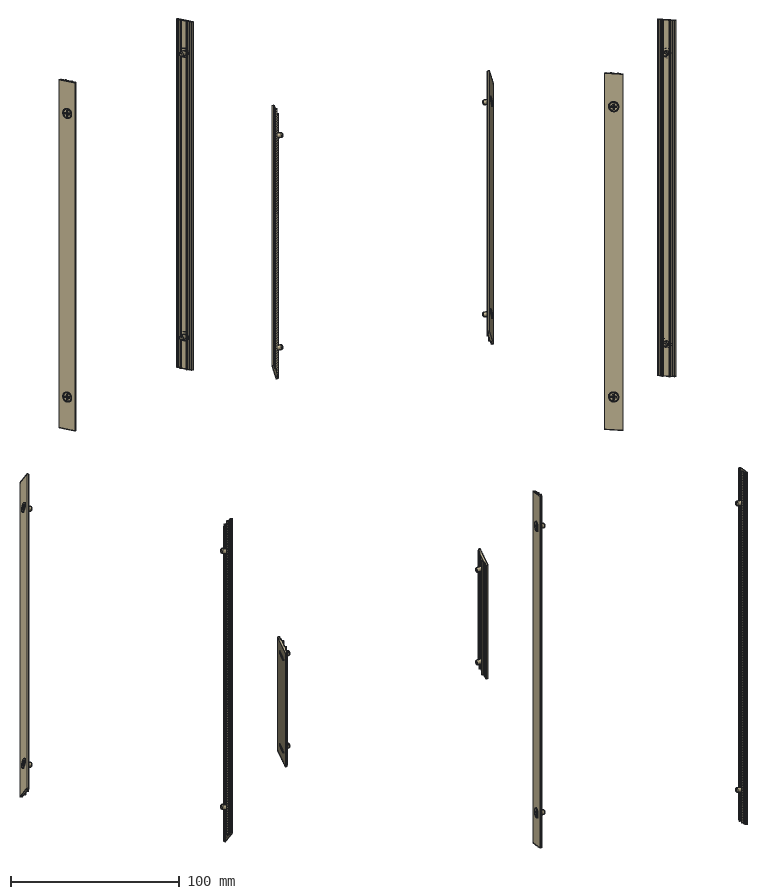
import cadquery as cq

strip_length = 218.1
strip_width = 11.3
overall_depth = 132.5

plate_thickness = 1.05
lip_width = 0.7
lip_height = 1.5
pad_width = 7.9
pad_base_width = 6.5
pad_height = lip_height
ridge_outer_width = 4.8
ridge_inner_width = 3.5
ridge_rise = 0.79
ridge_height = pad_height + ridge_rise

screw_spacing = 177.8
shank_diameter = 3.0
shank_reach = 5.2
tip_chamfer = 0.7
head_diameter = 5.5
head_projection = 0.1
counterbore_diameter = 6.0
counterbore_depth = 0.76

recess_length = 3.5
recess_arm_width = 0.9
recess_depth = 1.7
recess_taper = 10.0

outer_face = overall_depth / 2 - head_projection
screw_heights = [-screw_spacing / 2, screw_spacing / 2]


def make_profile():
    """Cross-section of the strip in XY, outer face on Y = 0, ribbed side toward +Y."""
    right_half = [
        (strip_width / 2, 0),
        (strip_width / 2, lip_height - lip_width),
        (strip_width / 2 - lip_width, lip_height),
        (strip_width / 2 - lip_width, plate_thickness),
        (pad_base_width / 2, plate_thickness),
        (pad_width / 2, pad_height),
        (ridge_outer_width / 2, pad_height),
        (ridge_outer_width / 2, ridge_height),
        (ridge_inner_width / 2, ridge_height),
        (ridge_inner_width / 2, pad_height),
    ]
    left_half = [(-x, y) for x, y in reversed(right_half)]
    return cq.Workplane("XY").polyline(right_half + left_half).close()


def cylinder_along_y(diameter, start, end):
    """Round bar on the Y axis between two distances from the outer face."""
    return cq.Workplane("XZ", origin=(0, start, 0)).circle(diameter / 2).extrude(start - end)


def make_strip():
    """Strip with a counterbored hole for each screw."""
    strip = make_profile().extrude(strip_length / 2, both=True)
    hole = cylinder_along_y(shank_diameter, 0, ridge_height)
    counterbore = cylinder_along_y(counterbore_diameter, 0, counterbore_depth)
    for height in screw_heights:
        strip = strip.cut(hole.union(counterbore).translate((0, 0, height)))
    return strip


def make_screw():
    """Screw along Y with its tip toward +Y, its head resting on the counterbore floor."""
    shank = cylinder_along_y(shank_diameter, 0, shank_reach).faces(">Y").chamfer(tip_chamfer)
    screw = cylinder_along_y(head_diameter, -head_projection, counterbore_depth).union(shank)
    head_top = cq.Workplane(cq.Plane((0, -head_projection, 0), xDir=(1, 0, 0), normal=(0, 1, 0)))
    for length, width in [(recess_length, recess_arm_width), (recess_arm_width, recess_length)]:
        screw = screw.cut(head_top.rect(length, width).extrude(recess_depth, taper=recess_taper))
    return screw


def front_and_back(body):
    """Solids of a body at the front strip and of its half-turn copy at the back strip."""
    front = body.translate((0, -outer_face, 0))
    back = front.rotate((0, 0, 0), (0, 0, 1), 180)
    return [front.val(), back.val()]


strips = front_and_back(make_strip())

screw = make_screw()
screws = []
for height in screw_heights:
    screws += front_and_back(screw.translate((0, 0, height)))

result = cq.Compound.makeCompound([*strips, *screws])